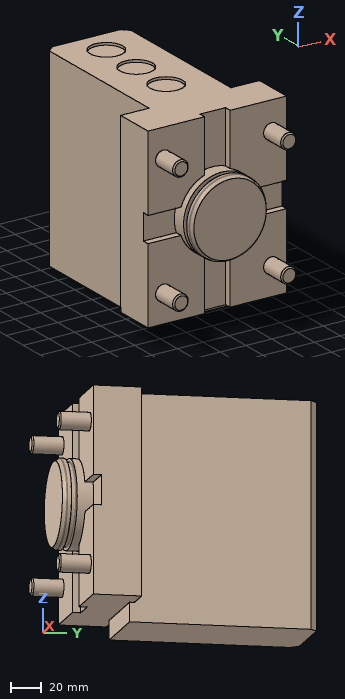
import cadquery as cq


total_length = 175.0
total_height = 151.0
flange_width = 108.0

flange_depth = 32.0
shank_width = 63.7
shank_chamfer = 5.0
base_height = 13.0
base_overlap = 3.2

slot_width = 19.8
slot_depth = 5.5

pocket_diameter = 25.0
pocket_depth = 2.0
pocket_spacing = 35.0
pocket_back_margin = 24.0
pocket_count = 3

spigot_diameter = 59.8
spigot_collar = 5.5
spigot_groove_width = 3.7
spigot_groove_diameter = 55.0
spigot_groove_root_radius = 0.5
spigot_length = 14.9
spigot_chamfer_length = 2.8
spigot_chamfer_depth = 1.8
spigot_shoulder_radius = 1.0

pin_diameter = 12.0
pin_length = 21.0
pin_chamfer = 1.0
pin_spacing_x = 84.0
pin_spacing_z = 94.0

flange_height = total_height - base_height
top_z = flange_height / 2
flange_bottom_z = -top_z
back_y = total_length - pin_length


def block(width, front, back, bottom, top):
    """Box centred on X that spans the given Y and Z limits."""
    box = cq.Workplane("XY").box(width, back - front, top - bottom, centered=(True, False, False))
    return box.translate((0, front, bottom))


def forward_cylinder(diameter, start_y, length):
    """Cylinder around the Y axis that runs forwards (-Y) from start_y."""
    return cq.Workplane("XZ", origin=(0, start_y, 0)).circle(diameter / 2).extrude(length)


def make_body():
    """Flange plate with the deep shank and its base, chamfered at the back corners."""
    flange = block(flange_width, 0, flange_depth, flange_bottom_z, top_z)
    shank = block(shank_width, flange_depth, back_y, flange_bottom_z, top_z)
    base_front = flange_depth - base_overlap
    base = block(shank_width, base_front, back_y, flange_bottom_z - base_height, flange_bottom_z)
    shank = shank.union(base).clean()
    shank = shank.faces(">Y").edges("|Z").chamfer(shank_chamfer)
    return flange.union(shank)


def make_slots():
    """Vertical and horizontal slots that cross at the spigot."""
    vertical = block(slot_width, 0, slot_depth, flange_bottom_z, top_z)
    horizontal = block(flange_width, 0, slot_depth, -slot_width / 2, slot_width / 2)
    return vertical.union(horizontal)


def make_pockets():
    """Row of shallow round pockets sunk into the top face."""
    centers = [(0, back_y - pocket_back_margin - i * pocket_spacing) for i in range(pocket_count)]
    plane = cq.Workplane("XY", origin=(0, 0, top_z))
    return plane.pushPoints(centers).circle(pocket_diameter / 2).extrude(-pocket_depth)


def make_spigot_groove():
    """Ring that cuts the spigot groove, rounded where it meets the groove floor."""
    ring = forward_cylinder(spigot_diameter, -spigot_collar, spigot_groove_width)
    core = forward_cylinder(spigot_groove_diameter, -spigot_collar, spigot_groove_width)
    floor_edges = cq.selectors.RadiusNthSelector(0)
    return ring.cut(core).edges(floor_edges).fillet(spigot_groove_root_radius)


def make_spigot():
    """Spigot rising from the slot floor, with a ring groove and a softened, chamfered end."""
    spigot = forward_cylinder(spigot_diameter, slot_depth, slot_depth + spigot_length)
    spigot = spigot.faces("<Y").chamfer(spigot_chamfer_length, spigot_chamfer_depth)
    shoulder_y = -spigot_length + spigot_chamfer_length
    margin = spigot_chamfer_length / 2
    shoulder = cq.selectors.BoxSelector(
        (-spigot_diameter, shoulder_y - margin, -spigot_diameter),
        (spigot_diameter, shoulder_y + margin, spigot_diameter),
    )
    spigot = spigot.edges("%CIRCLE").edges(shoulder).fillet(spigot_shoulder_radius)
    return spigot.cut(make_spigot_groove())


def make_pins():
    """Four chamfered pins standing on the flange face."""
    pin = forward_cylinder(pin_diameter, 0, pin_length).faces("<Y").chamfer(pin_chamfer)
    pins = cq.Workplane("XY")
    for x in (-pin_spacing_x / 2, pin_spacing_x / 2):
        for z in (-pin_spacing_z / 2, pin_spacing_z / 2):
            pins = pins.add(pin.translate((x, 0, z)))
    return pins.combine()


result = make_body().cut(make_slots()).cut(make_pockets())
result = result.union(make_spigot()).union(make_pins())